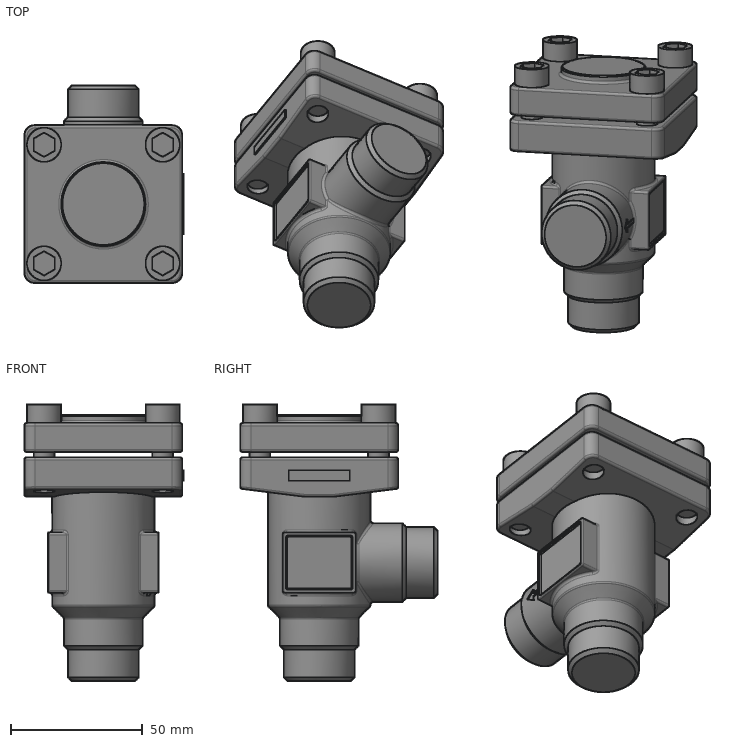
import cadquery as cq
import math


flange_side = 60.0
flange_half = flange_side / 2
flange_corner_radius = 4.0
flange_edge_radius = 1.0
body_flange_top_z = 40.0
body_flange_edge_z = 28.0
body_flange_keel_z = 25.0
keel_half_width = 6.0
cover_gap = 1.9
cover_bottom_z = body_flange_top_z + cover_gap
cover_top_z = 53.0

boss_radius = 32.0 / 2
boss_top_z = 56.0
boss_root_radius = 1.0
boss_edge_chamfer = 0.5

bolt_offset = 22.5
bolt_shank_radius = 8.0 / 2
bolt_head_radius = 13.0 / 2
bolt_head_top_z = 60.0
bolt_end_z = 30.0
socket_across_flats = 8.0
socket_depth = 5.0
socket_turn = 30.0

body_radius = 39.0 / 2
body_bottom_z = -16.5
port_length = 45.0
pipe_radius = 27.0 / 2
pipe_chamfer = 1.5
collar_radius = 30.0 / 2
collar_end = 31.5
cone_end_z = body_bottom_z - (body_radius - collar_radius)
blend_radius = 1.0

plate_face_x = 21.0
plate_width = 27.8
plate_height = 23.0
plate_corner_radius = 0.9
plate_rim_radius = 0.4
recess_margin = 1.2
recess_depth = 0.5
recess_wall_angle = 45.0
recess_corner_radius = 1.0

arrow_tip_y = 27.4
arrow_shoulder_y = 23.8
arrow_half_width = 2.5
arrow_shaft_half_width = 0.75
arrow_height = 0.3

strip_height = 0.5
strip_width = 23.0
strip_thickness = 4.0
strip_center_z = 33.0

tolerance = 0.01


def cylinder(radius, bottom_z, top_z):
    return cq.Workplane("XY").workplane(offset=bottom_z).circle(radius).extrude(top_z - bottom_z)


def revolve_profile(points):
    """Turn a closed outline of (radius, height) points about the Y axis of the XY plane."""
    return cq.Workplane("XY").polyline(points).close().revolve(360, (0, 0, 0), (0, 1, 0))


def pipe_end_points():
    """(radius, distance from the origin) points from the collar to the tip of a pipe end."""
    step = collar_radius - pipe_radius
    return [
        (collar_radius, collar_end),
        (pipe_radius, collar_end + step),
        (pipe_radius, port_length - pipe_chamfer),
        (pipe_radius - pipe_chamfer, port_length),
        (0, port_length),
    ]


def circle_at(radius, z):
    """Selector for the circular edge of the given radius about Z at height z."""
    reach = radius + tolerance
    return cq.selectors.BoxSelector(
        (-reach, -reach, z - tolerance), (reach, reach, z + tolerance), boundingbox=True
    )


def make_inlet():
    """Body barrel, cone and lower pipe end, outlined with the tip up and then turned tip down."""
    barrel_top = -body_flange_edge_z
    barrel = [
        (0, barrel_top),
        (body_radius, barrel_top),
        (body_radius, -body_bottom_z),
        (collar_radius, -cone_end_z),
    ]
    inlet = revolve_profile(barrel + pipe_end_points()).rotate((0, 0, 0), (1, 0, 0), -90)
    inlet = inlet.edges(circle_at(body_radius, body_bottom_z)).fillet(blend_radius)
    return inlet.edges(circle_at(collar_radius, cone_end_z)).fillet(blend_radius)


def make_outlet():
    """Side pipe end, turned about Y."""
    return revolve_profile([(0, 0), (collar_radius, 0)] + pipe_end_points())


def make_plates():
    """One block through the body that forms both plates."""
    block = cq.Workplane("XY").box(2 * plate_face_x, plate_width, plate_height)
    block = block.edges("|X").fillet(plate_corner_radius)
    return block.faces("|X").edges().fillet(plate_rim_radius)


def make_recesses():
    recess = (
        cq.Workplane("YZ")
        .workplane(offset=plate_face_x)
        .sketch()
        .rect(plate_width - 2 * recess_margin, plate_height - 2 * recess_margin)
        .vertices()
        .fillet(recess_corner_radius)
        .finalize()
        .extrude(-recess_depth, taper=recess_wall_angle)
    )
    return recess.union(recess.mirror("YZ"))


def is_root(edge):
    """True for an edge on the barrel surface, or where a plate's end meets the outlet collar."""
    points = [edge.positionAt(fraction) for fraction in (0.0, 0.3, 0.7, 1.0)]
    on_barrel = all(abs(math.hypot(p.x, p.y) - body_radius) < tolerance for p in points)
    on_collar = all(abs(math.hypot(p.x, p.z) - collar_radius) < tolerance for p in points)
    on_plate_end = all(abs(p.y - plate_width / 2) < tolerance for p in points)
    return on_barrel or (on_collar and on_plate_end)


def make_body():
    body = make_inlet().union(make_outlet()).union(make_plates())
    reach = body_radius + blend_radius
    around_plates = cq.selectors.BoxSelector(
        (-reach, -reach, body_bottom_z + blend_radius), (reach, reach, -body_bottom_z)
    )
    roots = [edge for edge in body.edges(around_plates).vals() if is_root(edge)]
    return body.newObject(roots).fillet(blend_radius).cut(make_recesses())


def make_body_flange():
    """Square flange whose underside slopes down to a flat keel along X."""
    flange = (
        cq.Workplane("YZ")
        .moveTo(-flange_half, body_flange_top_z)
        .lineTo(-flange_half, body_flange_edge_z)
        .lineTo(-keel_half_width, body_flange_keel_z)
        .lineTo(keel_half_width, body_flange_keel_z)
        .lineTo(flange_half, body_flange_edge_z)
        .lineTo(flange_half, body_flange_top_z)
        .close()
        .extrude(flange_half, both=True)
    )
    flange = flange.edges("|Z").fillet(flange_corner_radius)
    flange = flange.faces(">Z").edges().fillet(flange_edge_radius)

    low_z = body_flange_keel_z - tolerance
    high_z = body_flange_edge_z + tolerance
    inner_half = flange_half - flange_corner_radius
    underside = cq.selectors.BoxSelector(
        (-flange_side, -flange_side, low_z), (flange_side, flange_side, high_z)
    )
    keel_lines = cq.selectors.BoxSelector(
        (-inner_half, -inner_half, low_z), (inner_half, inner_half, high_z)
    )
    return flange.edges(underside - keel_lines).fillet(flange_edge_radius)


def make_cover():
    plate = (
        cq.Workplane("XY")
        .workplane(offset=cover_bottom_z)
        .rect(flange_side, flange_side)
        .extrude(cover_top_z - cover_bottom_z)
        .edges("|Z")
        .fillet(flange_corner_radius)
        .faces("|Z")
        .edges()
        .fillet(flange_edge_radius)
    )
    boss = cylinder(boss_radius, cover_top_z, boss_top_z).faces(">Z").chamfer(boss_edge_chamfer)
    cover = plate.union(boss)
    return cover.edges(circle_at(boss_radius, cover_top_z)).fillet(boss_root_radius)


def make_bolt():
    shank = cylinder(bolt_shank_radius, bolt_end_z, cover_top_z)
    head = cylinder(bolt_head_radius, cover_top_z, bolt_head_top_z)
    across_corners = socket_across_flats / math.cos(math.pi / 6)
    socket = (
        cq.Workplane("XY")
        .workplane(offset=bolt_head_top_z - socket_depth)
        .transformed(rotate=(0, 0, socket_turn))
        .polygon(6, across_corners)
        .extrude(socket_depth)
    )
    return shank.union(head).cut(socket)


def make_arrow():
    """Flow arrow pointing along +Y, raised on the -X side of the outlet collar."""
    return (
        cq.Workplane("YZ")
        .moveTo(arrow_tip_y, 0)
        .lineTo(arrow_shoulder_y, arrow_half_width)
        .lineTo(arrow_shoulder_y, arrow_shaft_half_width)
        .lineTo(0, arrow_shaft_half_width)
        .lineTo(0, -arrow_shaft_half_width)
        .lineTo(arrow_shoulder_y, -arrow_shaft_half_width)
        .lineTo(arrow_shoulder_y, -arrow_half_width)
        .close()
        .extrude(-collar_radius - arrow_height)
    )


def make_strip():
    strip = cq.Workplane("XY").box(2 * strip_height, strip_width, strip_thickness)
    return strip.translate((flange_half, 0, strip_center_z))


result = make_body().union(make_body_flange()).union(make_cover())
result = result.union(make_strip()).union(make_arrow())

bolt = make_bolt()
hole_below_bolt = cylinder(bolt_shank_radius, body_flange_keel_z, bolt_end_z)
for bolt_x in (-bolt_offset, bolt_offset):
    for bolt_y in (-bolt_offset, bolt_offset):
        place = (bolt_x, bolt_y, 0)
        result = result.union(bolt.translate(place))
        result = result.cut(hole_below_bolt.translate(place))